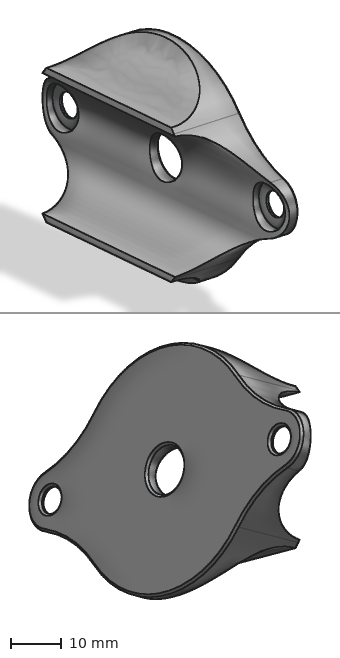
import cadquery as cq
import math

DEPTH = 17.0
LOBE_RADIUS = 25.42
LENGTH = 76.6
HOLE_OFFSET = 32.0
EAR_RADIUS = LENGTH / 2 - HOLE_OFFSET
WAIST_RADIUS = 27.0
BACK_CHAMFER = 0.5

FLOOR_THICKNESS = 2.5
CHANNEL_RADIUS = 15.0
WALL_THICKNESS = 1.5

CENTRE_HOLE_DIAMETER = 10.0
SCREW_HOLE_DIAMETER = 5.5
COUNTERBORE_DIAMETER = 10.0
COUNTERBORE_FLOOR = 1.0

RIM_THICKNESS = 2.5
SCOOP_MIDDLE_RADIUS = 17.0
SCOOP_END_RADIUS = 15.0
SCOOP_HALF_LENGTH = 20.5


def tangent_points():
    """Points where the concave waist arc meets the lobe, its middle, and where it meets the ear."""
    to_lobe = LOBE_RADIUS + WAIST_RADIUS
    to_ear = EAR_RADIUS + WAIST_RADIUS
    centre_x = (to_lobe**2 - to_ear**2 + HOLE_OFFSET**2) / (2 * HOLE_OFFSET)
    centre_z = math.sqrt(to_lobe**2 - centre_x**2)
    lobe_point = (centre_x * LOBE_RADIUS / to_lobe, centre_z * LOBE_RADIUS / to_lobe)
    ear_share = EAR_RADIUS / to_ear
    ear_point = (HOLE_OFFSET + (centre_x - HOLE_OFFSET) * ear_share, centre_z * ear_share)
    chord_x = (lobe_point[0] + ear_point[0]) / 2 - centre_x
    chord_z = (lobe_point[1] + ear_point[1]) / 2 - centre_z
    scale = WAIST_RADIUS / math.hypot(chord_x, chord_z)
    waist_middle = (centre_x + chord_x * scale, centre_z + chord_z * scale)
    return lobe_point, waist_middle, ear_point


def blank():
    """Full-depth block with the lobed outline."""
    lobe, waist, ear = tangent_points()

    def at(point, side_x, side_z):
        return (side_x * point[0], side_z * point[1])

    outline = (
        cq.Workplane("XZ")
        .moveTo(*at(lobe, -1, 1))
        .threePointArc((0, LOBE_RADIUS), lobe)
        .threePointArc(waist, ear)
        .threePointArc((LENGTH / 2, 0), at(ear, 1, -1))
        .threePointArc(at(waist, 1, -1), at(lobe, 1, -1))
        .threePointArc((0, -LOBE_RADIUS), at(lobe, -1, -1))
        .threePointArc(at(waist, -1, -1), at(ear, -1, -1))
        .threePointArc((-LENGTH / 2, 0), at(ear, -1, 1))
        .threePointArc(at(waist, -1, 1), at(lobe, -1, 1))
        .close()
    )
    return outline.extrude(DEPTH)


def channel():
    return (
        cq.Workplane("YZ")
        .center(-FLOOR_THICKNESS - CHANNEL_RADIUS, 0)
        .circle(CHANNEL_RADIUS)
        .extrude(LENGTH / 2, both=True)
    )


def scoop_section(x, radius, side):
    """Closed YZ section of the scoop: a concave arc from rim to front edge, boxed in by two lines."""
    rim_z = side * LOBE_RADIUS
    edge_z = side * (CHANNEL_RADIUS + WALL_THICKNESS)
    section = (
        cq.Workplane("YZ", origin=(x, 0, 0))
        .moveTo(-RIM_THICKNESS, rim_z)
        .radiusArc((-DEPTH, edge_z), side * radius)
        .lineTo(-DEPTH, rim_z)
        .close()
    )
    return section.val()


def scoop(side):
    """Cut outside one wall, flatter in the middle than at its ends; side is +1 or -1 in Z."""
    sections = [
        scoop_section(-SCOOP_HALF_LENGTH, SCOOP_END_RADIUS, side),
        scoop_section(0, SCOOP_MIDDLE_RADIUS, side),
        scoop_section(SCOOP_HALF_LENGTH, SCOOP_END_RADIUS, side),
    ]
    return cq.Workplane(cq.Solid.makeLoft(sections))


def hole(x, diameter, start_y=0.0):
    return cq.Workplane("XZ", origin=(x, start_y, 0)).circle(diameter / 2).extrude(DEPTH)


result = blank().cut(channel()).cut(hole(0, CENTRE_HOLE_DIAMETER))
for side in (-1, 1):
    result = result.cut(scoop(side))
    result = result.cut(hole(side * HOLE_OFFSET, SCREW_HOLE_DIAMETER))
    result = result.cut(hole(side * HOLE_OFFSET, COUNTERBORE_DIAMETER, -COUNTERBORE_FLOOR))

result = result.faces(">Y").chamfer(BACK_CHAMFER)